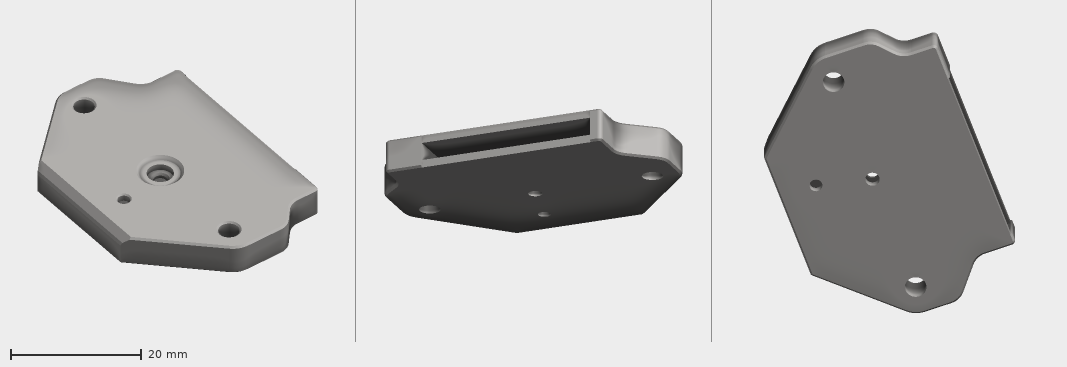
import cadquery as cq

length = 46.1
depth = 31.45
thickness = 5.3
rear_y = 17.0
front_y = rear_y - depth
left_x = -length / 2
right_x = length / 2
edge_chamfer = 0.3

tongue_left_x = -16.9
tongue_right_x = 19.05
left_shoulder_top_y = 10.5
left_shoulder_bottom_y = 5.6
right_shoulder_top_y = 11.47
right_shoulder_bottom_y = 7.93

front_left_x = -11.2
front_right_x = 9.95
left_flank_y = -1.7
right_flank_y = -1.4

tongue_corner_radius = 0.7
shoulder_radius = 3.0
flank_radius = 4.0

relief_left_x = -15.0
relief_right_x = 13.0
relief_depth = edge_chamfer

slot_wall = 1.25
slot_floor_z = slot_wall
slot_ceiling_z = thickness - slot_wall
slot_front_y = -10.6
slot_corner_radius = 3.45

bevel_slope = 1.1
facet_run = 0.25
facet_drop = 0.55

ear_hole_x = 18.5
ear_hole_diameter = 3.3
ear_hole_chamfer = 0.28

center_x = 0.95
countersink_diameter = 7.35
countersink_depth = 0.55
counterbore_diameter = 4.2
counterbore_depth = 1.1
center_hole_diameter = 2.2
center_hole_chamfer = 0.3
center_land = 0.5

boss_diameter = countersink_diameter
boss_end_z = (
    thickness - countersink_depth - counterbore_depth - center_hole_chamfer - center_land
)

small_hole_x = 2.95
small_hole_y = -8.52
small_hole_diameter = 2.0
small_hole_chamfer = 0.25


def make_plate():
    """Rounded outline extruded to full thickness, with chamfered top and bottom rims."""
    corners = [
        (tongue_left_x, rear_y, tongue_corner_radius),
        (tongue_right_x, rear_y, tongue_corner_radius),
        (tongue_right_x, right_shoulder_top_y, shoulder_radius),
        (right_x, right_shoulder_bottom_y, shoulder_radius),
        (right_x, right_flank_y, flank_radius),
        (front_right_x, front_y, 0),
        (front_left_x, front_y, 0),
        (left_x, left_flank_y, flank_radius),
        (left_x, left_shoulder_bottom_y, shoulder_radius),
        (tongue_left_x, left_shoulder_top_y, shoulder_radius),
    ]
    outline = [(x, y) for x, y, radius in corners]
    plate = cq.Workplane("XY").polyline(outline).close().extrude(thickness)
    for x, y, radius in corners:
        if radius > 0:
            vertical_edge = cq.selectors.NearestToPointSelector((x, y, thickness / 2))
            plate = plate.edges("|Z").edges(vertical_edge).fillet(radius)
    return plate.faces("<Z or >Z").edges().chamfer(edge_chamfer)


def make_front_bevel():
    """Wedge that is removed along the top of the front edge."""
    facet_top_z = thickness - bevel_slope
    return (
        cq.Workplane("YZ", origin=(left_x, 0, 0))
        .moveTo(front_y, facet_top_z - facet_drop)
        .lineTo(front_y + facet_run, facet_top_z)
        .lineTo(front_y + facet_run + bevel_slope, thickness)
        .lineTo(front_y, thickness)
        .close()
        .extrude(length)
    )


def make_rear_relief():
    """Full-height slab that is removed from the rear face."""
    return cq.Workplane("XY").box(
        relief_right_x - relief_left_x, relief_depth, thickness, centered=False
    ).translate((relief_left_x, rear_y - relief_depth, 0))


def make_slot():
    """Rear-opening slot with rounded front corners, leaving the central boss in place."""
    slot_width = relief_right_x - relief_left_x
    slot_height = slot_ceiling_z - slot_floor_z
    slot = (
        cq.Workplane("XY")
        .box(slot_width, rear_y - slot_front_y, slot_height, centered=False)
        .edges("|Z and <Y")
        .fillet(slot_corner_radius)
        .translate((relief_left_x, slot_front_y, slot_floor_z))
    )
    boss = (
        cq.Workplane("XY", origin=(center_x, 0, boss_end_z))
        .circle(boss_diameter / 2)
        .extrude(slot_ceiling_z - boss_end_z)
    )
    return slot.cut(boss)


def make_hole(x, y, diameter, mouth_chamfer):
    """Through hole with a 45 degree chamfer around its mouth."""
    radius = diameter / 2
    return (
        cq.Workplane("XZ")
        .lineTo(radius, 0)
        .lineTo(radius, thickness - mouth_chamfer)
        .lineTo(radius + mouth_chamfer, thickness)
        .lineTo(0, thickness)
        .close()
        .revolve(360, (0, 0), (0, 1))
        .translate((x, y, 0))
    )


def make_center_hole():
    """Shallow 45 degree countersink, then a counterbore, then a chamfered through hole."""
    counterbore_top_z = thickness - countersink_depth
    counterbore_floor_z = counterbore_top_z - counterbore_depth
    counterbore_radius = counterbore_diameter / 2
    hole_radius = center_hole_diameter / 2
    mouth_radius = countersink_diameter / 2
    return (
        cq.Workplane("XZ")
        .lineTo(hole_radius, 0)
        .lineTo(hole_radius, counterbore_floor_z - center_hole_chamfer)
        .lineTo(hole_radius + center_hole_chamfer, counterbore_floor_z)
        .lineTo(counterbore_radius, counterbore_floor_z)
        .lineTo(counterbore_radius, counterbore_top_z)
        .lineTo(mouth_radius - countersink_depth, counterbore_top_z)
        .lineTo(mouth_radius, thickness)
        .lineTo(0, thickness)
        .close()
        .revolve(360, (0, 0), (0, 1))
        .translate((center_x, 0, 0))
    )


result = make_plate().cut(make_front_bevel()).cut(make_rear_relief()).cut(make_slot())
for ear_x in (-ear_hole_x, ear_hole_x):
    result = result.cut(make_hole(ear_x, 0, ear_hole_diameter, ear_hole_chamfer))
result = result.cut(make_center_hole())
result = result.cut(make_hole(small_hole_x, small_hole_y, small_hole_diameter, small_hole_chamfer))